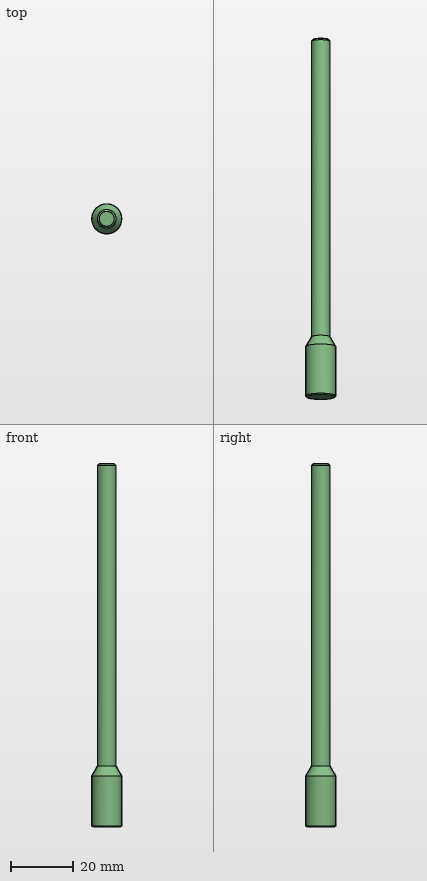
import cadquery as cq
import math

total_length = 117.0
head_diameter = 9.71
shank_diameter = 6.0

head_length = 19.7
taper_half_angle = 30.0
head_chamfer = 0.4

shank_chamfer = 0.6

head_radius = head_diameter / 2
shank_radius = shank_diameter / 2
taper_length = (head_radius - shank_radius) / math.tan(math.radians(taper_half_angle))
shank_length = total_length - head_length


def make_head():
    """Cylindrical head standing on Z = 0, with a bottom chamfer and a conical neck on top."""
    return (
        cq.Workplane("XZ")
        .moveTo(0, 0)
        .lineTo(head_radius - head_chamfer, 0)
        .lineTo(head_radius, head_chamfer)
        .lineTo(head_radius, head_length - taper_length)
        .lineTo(shank_radius, head_length)
        .lineTo(0, head_length)
        .close()
        .revolve(360, (0, 0, 0), (0, 1, 0))
    )


def make_shank():
    """Plain round shank that butts on the head's neck, with a chamfered free end."""
    return (
        cq.Workplane("XY")
        .workplane(offset=head_length)
        .circle(shank_radius)
        .extrude(shank_length)
        .faces(">Z")
        .chamfer(shank_chamfer)
    )


head = make_head()
shank = make_shank()

result = cq.Compound.makeCompound([head.val(), shank.val()])